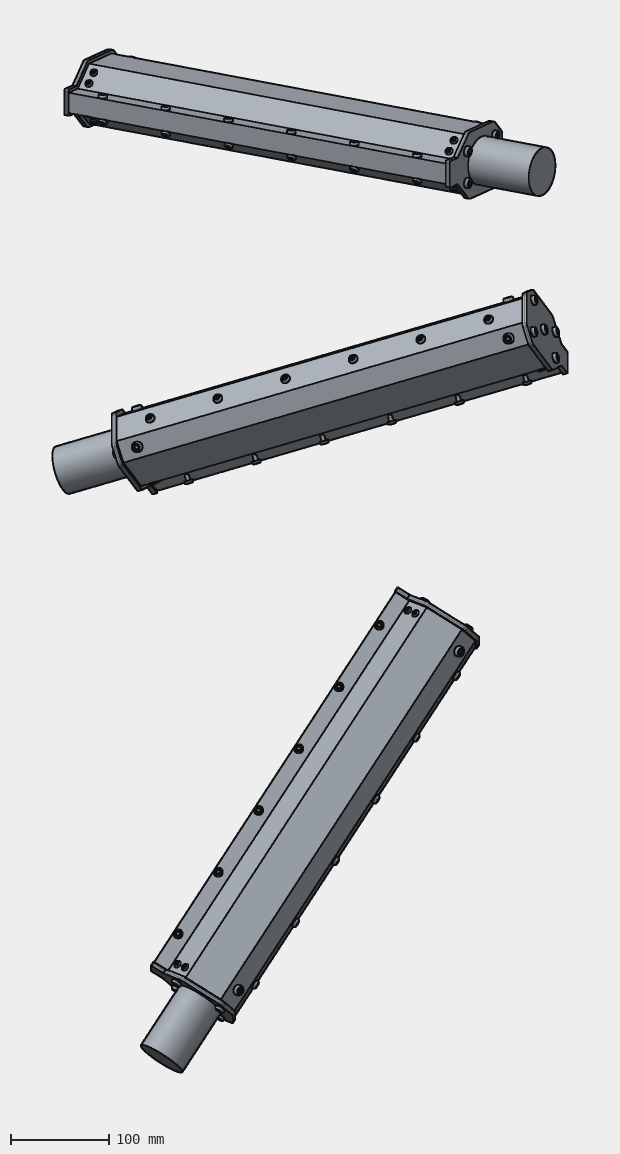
import cadquery as cq
import math

total_length = 544.5
screw_head_height = 4.0
layer_thickness = 2.45
plate_thickness = 2 * layer_thickness
housing_length = 457.5
plate_span = housing_length + 2 * plate_thickness
mid_x = plate_span / 2
tube_diameter = 50.5
tube_end_x = total_length - screw_head_height

body_front_y = -59.5
body_half_height = 32.0
body_back_y = 37.5
body_top_back_y = 21.0
body_top_front_y = -body_top_back_y
flange_half_height = 11.0
slope_run = body_half_height - flange_half_height
back_chamfer = body_back_y - body_top_back_y

plate_height = 71.5
plate_half_height = plate_height / 2
plate_front_y = -60.0
plate_back_y = 39.0
plate_top_back_y = 24.0
plate_top_front_y = -23.5
plate_flange_half_height = 14.0
plate_slope_run = plate_half_height - plate_flange_half_height
plate_flange_y = plate_top_front_y - plate_slope_run
plate_back_chamfer = plate_back_y - plate_top_back_y
plate_corner_radius = 5.5
plate_front_radius = 1.5

large_head = 11.0
medium_head = 10.5
small_head = 9.0
slope_head = 7.5
slope_head_height = 2.0
small_head_height = 3.0
chamfer_head_height = 4.5
crown_ratio = 0.7
rim_ratio = 0.3
bulge_ratio = 0.12
socket_ratio = 0.4
shank_ratio = 0.5
shank_length = 8.0

row_count = 6
row_pitch = 76.0
flange_screw_y = -54.5
tilted_screw_y = -53.5
tilted_screw_z = -14.0
slope_screw_inset = 10.5
slope_screw_distances = (1.7, 4.1)
chamfer_screw_inset = 19.5
back_screw_y = 24.5
back_screw_z = 20.5
front_screw_y = -28.0
front_screw_z = 17.0

diagonal = math.sqrt(14.84)


def section(start_x, length, half_height, back_y, back_cut, top_front_y, front_y, run):
    """Extrude along X an outline that is mirrored about Z = 0."""
    flange_y = top_front_y - run
    flange_z = half_height - run
    upper = [
        (back_y, half_height - back_cut),
        (back_y - back_cut, half_height),
        (top_front_y, half_height),
        (flange_y, flange_z),
        (front_y, flange_z),
    ]
    lower = [(y, -z) for y, z in reversed(upper)]
    outline = cq.Workplane("YZ", origin=(start_x, 0, 0)).polyline(upper + lower).close()
    return outline.extrude(length)


def screw(position, direction, diameter, height):
    """Button head with a hex socket, seated at position, with its shank sunk into the part."""
    radius = diameter / 2
    crown = crown_ratio * radius
    rim = rim_ratio * height
    shank = shank_ratio * radius
    bulge = 1 + bulge_ratio
    shoulder = (bulge * (radius + crown) / 2, bulge * (rim + height) / 2)
    profile = (
        cq.Workplane("XZ")
        .moveTo(0, -shank_length)
        .lineTo(shank, -shank_length)
        .lineTo(shank, 0)
        .lineTo(radius, 0)
        .lineTo(radius, rim)
        .threePointArc(shoulder, (crown, height))
        .lineTo(0, height)
        .close()
    )
    head = profile.revolve(360, (0, 0, 0), (0, 1, 0))
    socket = (
        cq.Workplane("XY", origin=(0, 0, height / 2))
        .polygon(6, socket_ratio * diameter, circumscribed=True)
        .extrude(height)
    )
    turn = (0, 1, 0) if direction[0] else (1, 0, 0)
    seat = cq.Plane(origin=position, xDir=turn, normal=direction)
    return head.cut(socket).val().moved(cq.Location(seat))


def end_screws():
    """Four screws on each end plate and one in the centre of the blind plate."""
    screws = []
    for x, out in ((0, -1), (plate_span, 1)):
        for side in (-1, 1):
            for y, z, size in ((back_screw_y, back_screw_z, medium_head),
                               (front_screw_y, front_screw_z, large_head)):
                screws.append(screw((x, y, side * z), (out, 0, 0), size, screw_head_height))
    screws.append(screw((0, 0, 0), (-1, 0, 0), large_head, screw_head_height))
    return screws


def row_screws():
    """Rows along the back face, the top of the flange and, tilted, its lower edge."""
    screws = []
    for i in range(row_count):
        x = mid_x + (i - (row_count - 1) / 2) * row_pitch
        screws.append(screw((x, body_back_y, 0), (0, 1, 0), small_head, screw_head_height))
        screws.append(screw((x, flange_screw_y, flange_half_height), (0, 0, 1),
                            small_head, small_head_height))
        screws.append(screw((x, tilted_screw_y, tilted_screw_z), (0, -diagonal, -diagonal),
                            small_head, small_head_height))
    return screws


def sloped_screws():
    """Pairs near each end of the front slopes and single screws on the back chamfers."""
    screws = []
    for end in (-1, 1):
        slope_x = mid_x + end * (housing_length / 2 - slope_screw_inset)
        chamfer_x = mid_x + end * (housing_length / 2 - chamfer_screw_inset)
        for side in (-1, 1):
            for distance in slope_screw_distances:
                step = distance * diagonal
                seat = (slope_x, body_top_front_y - step, side * (body_half_height - step))
                screws.append(screw(seat, (0, -diagonal, side * diagonal), slope_head, slope_head_height))
            seat = (chamfer_x, body_back_y - back_chamfer / 2, side * (body_half_height - back_chamfer / 2))
            screws.append(screw(seat, (0, diagonal, side * diagonal), large_head, chamfer_head_height))
    return screws


def end_plate(start_x):
    """Two stacked layers of the same outline with rounded corners."""
    corner_y = (plate_top_front_y + plate_flange_y) / 2
    layers = []
    for x in (start_x, start_x + layer_thickness):
        layer = section(x, layer_thickness, plate_half_height, plate_back_y, plate_back_chamfer,
                        plate_top_front_y, plate_front_y, plate_slope_run)
        main_corners = layer.edges("|X").filter(lambda edge: edge.Center().y > corner_y)
        layer = main_corners.fillet(plate_corner_radius)
        layer = layer.edges("|X and <Y").fillet(plate_front_radius)
        layers.append(layer.val())
    return layers


housing = section(plate_thickness, housing_length, body_half_height, body_back_y, back_chamfer,
                  body_top_front_y, body_front_y, slope_run)
tube = cq.Workplane("YZ", origin=(plate_span, 0, 0)).circle(tube_diameter / 2)
tube = tube.extrude(tube_end_x - plate_span)
plates = end_plate(0) + end_plate(plate_span - plate_thickness)

screws = end_screws() + row_screws() + sloped_screws()
result = cq.Workplane(housing.val().fuse(tube.val(), *plates, *screws))